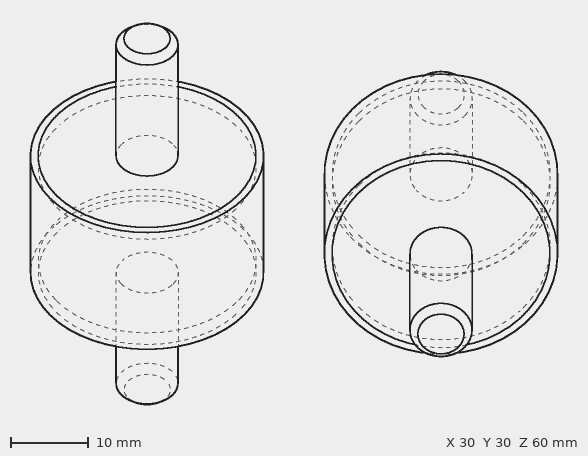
import cadquery as cq

overall_length = 60.0
rubber_diameter = 30.0
rubber_height = 20.0
plate_diameter = 28.0
plate_thickness = 2.0
stud_diameter = 8.0
stud_chamfer = 1.0

rubber_top = rubber_height / 2
stud_length = (overall_length - rubber_height) / 2


def make_rubber():
    """Rubber cylinder with a shallow round recess for a plate in each end."""
    rubber = cq.Workplane("XY").cylinder(rubber_height, rubber_diameter / 2)
    for end in (">Z", "<Z"):
        rubber = rubber.faces(end).workplane().circle(plate_diameter / 2).cutBlind(-plate_thickness)
    return rubber


def make_top_stud():
    """Round plate flush with the rubber end, carrying a stud with a chamfered tip."""
    plate = (
        cq.Workplane("XY")
        .workplane(offset=rubber_top - plate_thickness)
        .circle(plate_diameter / 2)
        .extrude(plate_thickness)
    )
    stud = (
        cq.Workplane("XY")
        .workplane(offset=rubber_top)
        .circle(stud_diameter / 2)
        .extrude(stud_length)
        .faces(">Z")
        .chamfer(stud_chamfer)
    )
    return plate.union(stud)


rubber = make_rubber()

studs = []
for turn in (0, 180):
    studs.append(make_top_stud().rotate((0, 0, 0), (1, 0, 0), turn).solids().val())

result = cq.Compound.makeCompound([rubber.val(), *studs])